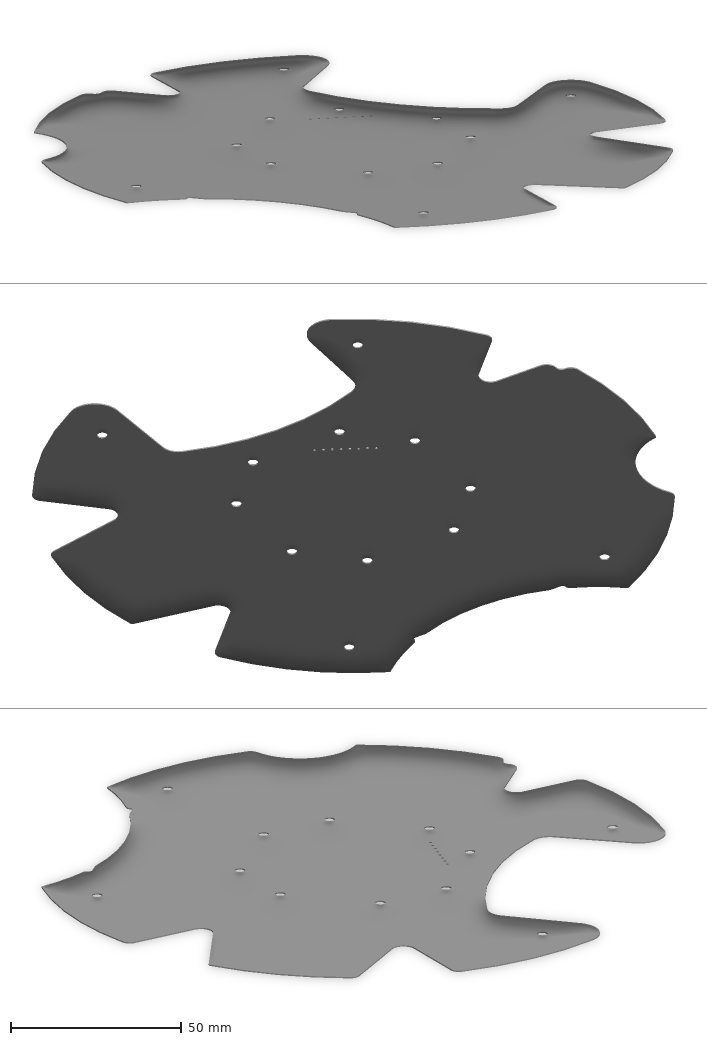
import cadquery as cq
import math

plate_radius = 94.3
thickness = 0.41
outside = 113.1

flank_offset = 31.1
notch_root_radius = 3.5
right_flank_angle = 10.5
right_root_y = 28.3
left_flank_y = 28.8

shoulder_x = -87.0
shoulder_y = 23.5
shoulder_round = 3.0
shoulder_root_radius = 1.9

bite_x = -94.3
bite_y = -39.0
bite_radius = 17.7

top_floor_y = 41.7
top_floor_radius = 83.9
top_root_x = 33.0
top_taper_angle = 1.5
top_root_radius = 5.7
top_tip_radius = 8.0

bottom_apex_y = -69.4
bottom_radius = 64.0
step_x = 26.4
step_y = -73.1
step_root_radius = 1.0
step_outer_round = 1.3

rim_corner_radius = 2.8
lower_corner_radius = 1.0
bite_corner_radius = 0.5

hole_diameter = 3.0
mount_x = 44.5
mount_y = 67.1
ring_near = 15.0
ring_far = 31.1
pin_diameter = 0.9
pin_count = 8
pin_first = (-19.6, 18.1)
pin_last = (-3.8, 27.0)


def half_chord(radius, distance):
    """Half length of the chord at a distance from the circle center."""
    return math.sqrt(radius**2 - distance**2)


def prism(sketch):
    """Close an outline and extrude it through the plate thickness."""
    return sketch.close().extrude(thickness)


def fillet_at(body, point, radius):
    """Round the vertical edge closest to a corner point."""
    target = cq.selectors.NearestToPointSelector((point[0], point[1], thickness / 2))
    corner = body.edges("|Z").edges(target)
    return corner.fillet(radius)


def right_notch():
    """Upper right notch: two straight flanks meeting in a rounded root."""
    root = (right_root_y + flank_offset, right_root_y)
    drop = (outside - root[0]) * math.tan(math.radians(right_flank_angle))
    cutter = prism(
        cq.Workplane()
        .moveTo(*root)
        .lineTo(outside, root[1] - drop)
        .lineTo(outside, outside - flank_offset)
    )
    return fillet_at(cutter, root, notch_root_radius)


def left_notch():
    """Upper left notch with the stepped shoulder at its mouth."""
    root = (-left_flank_y - flank_offset, left_flank_y)
    shoulder_top = (shoulder_x, left_flank_y)
    shoulder_root = (shoulder_x, shoulder_y)
    cutter = prism(
        cq.Workplane()
        .moveTo(*root)
        .lineTo(*shoulder_top)
        .lineTo(*shoulder_root)
        .lineTo(-outside, shoulder_y)
        .lineTo(-outside, outside - flank_offset)
    )
    cutter = fillet_at(cutter, root, notch_root_radius)
    cutter = fillet_at(cutter, shoulder_top, shoulder_round)
    return fillet_at(cutter, shoulder_root, shoulder_root_radius)


def top_notch():
    """Notch with tapered walls and a bowed floor, rounded where they meet."""
    root_y = top_floor_y + top_floor_radius - half_chord(top_floor_radius, top_root_x)
    mouth_x = top_root_x + (outside - root_y) * math.tan(math.radians(top_taper_angle))
    cutter = prism(
        cq.Workplane()
        .moveTo(-mouth_x, outside)
        .lineTo(-top_root_x, root_y)
        .threePointArc((0, top_floor_y), (top_root_x, root_y))
        .lineTo(mouth_x, outside)
    )
    for side in (-1, 1):
        cutter = fillet_at(cutter, (side * top_root_x, root_y), top_root_radius)
    return cutter


def bottom_notch():
    """Large arc with a small step cut into each side."""
    center_y = bottom_apex_y - bottom_radius
    arc = cq.Workplane().center(0, center_y).circle(bottom_radius).extrude(thickness)
    step_height = step_y - center_y
    step = (
        cq.Workplane()
        .center(0, center_y + step_height / 2)
        .rect(2 * step_x, step_height)
        .extrude(thickness)
    )
    cutter = arc.union(step)
    for side in (-1, 1):
        cutter = fillet_at(cutter, (side * step_x, step_y), step_root_radius)
    return cutter


def rim_bite():
    """Round cutter for the lower left rim."""
    return cq.Workplane().center(bite_x, bite_y).circle(bite_radius).extrude(thickness)


def drill(body, points, diameter):
    """Cut a through hole at each point."""
    return body.cut(cq.Workplane().pushPoints(points).circle(diameter / 2).extrude(thickness))


upper_right = right_notch()
plate = cq.Workplane().circle(plate_radius).extrude(thickness)
plate = plate.cut(upper_right).cut(upper_right.mirror("XZ"))
plate = plate.cut(left_notch()).cut(top_notch()).cut(bottom_notch())
plate = plate.cut(rim_bite())

side_corner_x = (flank_offset + math.sqrt(2 * plate_radius**2 - flank_offset**2)) / 2
side_corner_y = side_corner_x - flank_offset
for side_x in (-1, 1):
    for side_y in (-1, 1):
        corner = (side_x * side_corner_x, side_y * side_corner_y)
        plate = fillet_at(plate, corner, rim_corner_radius)

rim_corner_x = half_chord(plate_radius, shoulder_y)
plate = fillet_at(plate, (rim_corner_x, shoulder_y), rim_corner_radius)
plate = fillet_at(plate, (-rim_corner_x, shoulder_y), rim_corner_radius)
plate = fillet_at(plate, (rim_corner_x, -shoulder_y), lower_corner_radius)
plate = fillet_at(plate, (-rim_corner_x, -shoulder_y), bite_corner_radius)

step_corner_y = bottom_apex_y - bottom_radius + half_chord(bottom_radius, step_x)
for side in (-1, 1):
    plate = fillet_at(plate, (side * top_root_x, half_chord(plate_radius, top_root_x)), top_tip_radius)
    plate = fillet_at(plate, (side * step_x, step_corner_y), step_outer_round)

holes = []
for side_x in (-1, 1):
    for side_y in (-1, 1):
        holes.append((side_x * mount_x, side_y * mount_y))
        holes.append((side_x * ring_near, side_y * ring_far))
        holes.append((side_x * ring_far, side_y * ring_near))
plate = drill(plate, holes, hole_diameter)

pin_gaps = pin_count - 1
pin_step_x = (pin_last[0] - pin_first[0]) / pin_gaps
pin_step_y = (pin_last[1] - pin_first[1]) / pin_gaps
pins = [(pin_first[0] + i * pin_step_x, pin_first[1] + i * pin_step_y) for i in range(pin_count)]
plate = drill(plate, pins, pin_diameter)

result = plate